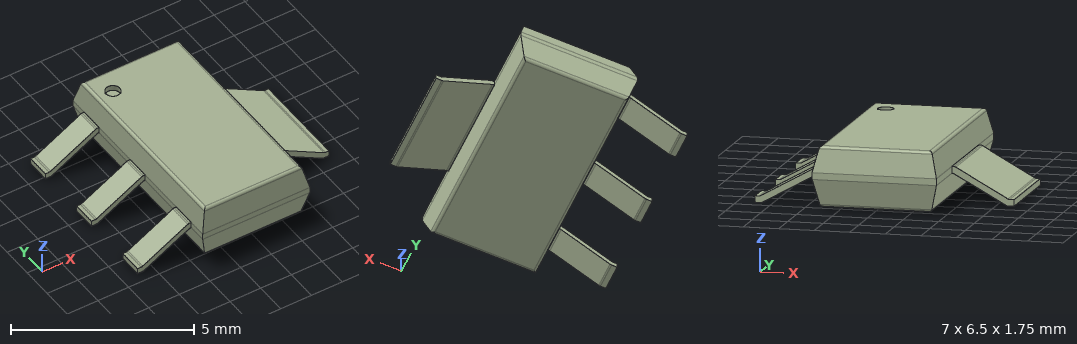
import cadquery as cq
import math

overall_length = 7.0
overall_height = 1.75

body_length = 3.5
body_width = 6.5
standoff = 0.05
draft_angle = 13.5
rim_fillet = 0.1

strip_thickness = 0.19
band_top = 1.03
bend_radius = 0.1
foot_flat = 0.15
shoulder_flat = 0.09
lead_width = 0.75
lead_pitch = 2.3
lead_count = 3
tab_width = 3.025

marker_diameter = 0.44
marker_depth = 0.175
marker_x = -1.06
marker_y = lead_pitch

half_body = body_length / 2
half_overall = overall_length / 2
band_bottom = band_top - strip_thickness
foot_x = half_overall - foot_flat
shoulder_x = half_body + shoulder_flat
slope_angle = math.atan2(band_top - strip_thickness, foot_x - shoulder_x)
corner_shift = strip_thickness * math.tan(slope_angle / 2)


def tapered_half(start_z, height):
    """Drafted half of the body; a negative height extends downward."""
    direction = math.copysign(1, height)
    plane = cq.Plane(origin=(0, 0, start_z), xDir=(1, 0, 0), normal=(0, 0, direction))
    return cq.Workplane(plane).rect(body_length, body_width).extrude(abs(height), taper=draft_angle)


def make_body():
    """Body with a straight middle band, drafted halves and a marker recess."""
    band = (
        cq.Workplane("XY")
        .workplane(offset=band_bottom)
        .rect(body_length, body_width)
        .extrude(strip_thickness)
    )
    upper = tapered_half(band_top, overall_height - band_top)
    lower = tapered_half(band_bottom, standoff - band_bottom)
    body = band.union(upper).union(lower)
    body = body.faces(">Z or <Z").edges().fillet(rim_fillet)
    marker = (
        cq.Workplane("XY")
        .workplane(offset=overall_height - marker_depth)
        .center(marker_x, marker_y)
        .circle(marker_diameter / 2)
        .extrude(marker_depth)
    )
    return body.cut(marker)


def bent_strip(side, width, center_y):
    """Strip sloping from the body face to its foot; side is -1 or +1 along X."""
    profile = [
        (half_body, band_top),
        (shoulder_x, band_top),
        (foot_x, strip_thickness),
        (half_overall, strip_thickness),
        (half_overall, 0),
        (foot_x - corner_shift, 0),
        (shoulder_x - corner_shift, band_bottom),
        (half_body, band_bottom),
    ]
    strip = (
        cq.Workplane("XZ", origin=(0, center_y, 0))
        .polyline([(side * x, z) for x, z in profile])
        .close()
        .extrude(width / 2, both=True)
    )
    bend_corners = [profile[1], profile[2], profile[5], profile[6]]
    for x, z in bend_corners:
        corner = cq.selectors.NearestToPointSelector((side * x, center_y, z))
        strip = strip.edges("|Y").edges(corner).fillet(bend_radius)
    return strip


body = make_body()
tab = bent_strip(1, tab_width, 0)
leads = []
for index in range(lead_count):
    lead_y = (index - (lead_count - 1) / 2) * lead_pitch
    leads.append(bent_strip(-1, lead_width, lead_y))

result = cq.Compound.makeCompound([body.val(), tab.val(), *[lead.val() for lead in leads]])